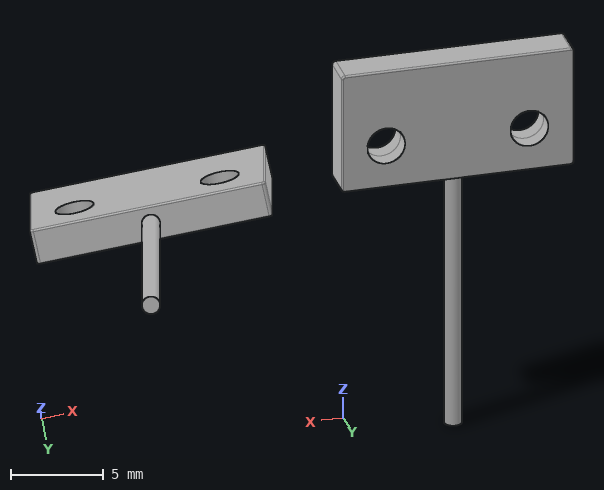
import cadquery as cq

total_height = 22.1
plate_width = 13.0
plate_thickness = 2.0
plate_height = 7.0
corner_radius = 0.2
rim_radius = 0.1

hole_diameter = 2.1
hole_spacing = 8.0
hole_height = 2.5

cable_diameter = 1.0
cable_length = total_height - plate_height


def make_plate():
    """Upright plate with its lower face on Z = 0 and all edges rounded."""
    return (
        cq.Workplane("XY")
        .box(plate_width, plate_thickness, plate_height, centered=(True, True, False))
        .edges("|Y")
        .fillet(corner_radius)
        .faces("<Y or >Y")
        .edges()
        .fillet(rim_radius)
    )


def make_holes():
    """Two cylinders that cut right through the plate along Y."""
    return (
        cq.Workplane("XZ")
        .pushPoints([(side * hole_spacing / 2, hole_height) for side in (-1, 1)])
        .circle(hole_diameter / 2)
        .extrude(plate_thickness, both=True)
    )


def make_cable():
    """Round cable hanging from the middle of the lower plate face."""
    return cq.Workplane("XY").circle(cable_diameter / 2).extrude(-cable_length)


result = make_plate().cut(make_holes()).union(make_cable())